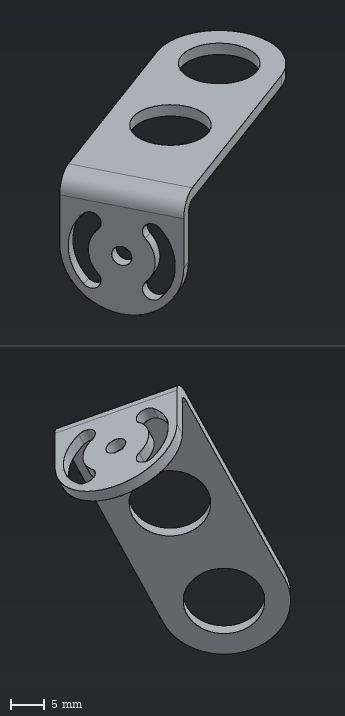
import cadquery as cq
import math

width = 20.0
length = 50.0
height = 22.0
thickness = 2.0
inner_bend_radius = 1.5
outer_bend_radius = inner_bend_radius + thickness
end_radius = width / 2

large_hole_diameter = 12.2
large_hole_spacing = 20.0
end_hole_y = length - end_radius

pivot_z = end_radius - height
pivot_diameter = 3.2
slot_width = 3.2
slot_radius = 7.0
slot_half_angle = 45.0


def make_bent_strip():
    """L-shaped strip with its top face at Z = 0 and its front face at Y = 0."""
    strip = (
        cq.Workplane("YZ")
        .moveTo(length, 0)
        .lineTo(outer_bend_radius, 0)
        .radiusArc((0, -outer_bend_radius), -outer_bend_radius)
        .lineTo(0, -height)
        .lineTo(thickness, -height)
        .lineTo(thickness, -outer_bend_radius)
        .radiusArc((outer_bend_radius, -thickness), inner_bend_radius)
        .lineTo(length, -thickness)
        .close()
        .extrude(width / 2, both=True)
    )
    top_outline = (
        cq.Workplane("XY")
        .moveTo(-end_radius, 0)
        .lineTo(end_radius, 0)
        .lineTo(end_radius, end_hole_y)
        .threePointArc((0, length), (-end_radius, end_hole_y))
        .close()
        .extrude(-height)
    )
    front_outline = (
        cq.Workplane("XZ")
        .moveTo(-end_radius, 0)
        .lineTo(end_radius, 0)
        .lineTo(end_radius, pivot_z)
        .threePointArc((0, -height), (-end_radius, pivot_z))
        .close()
        .extrude(-length)
    )
    return strip.intersect(top_outline).intersect(front_outline)


def make_curved_slot(side):
    """Round-ended arc slot about the pivot; side is 1 for +X and -1 for -X."""
    inner_radius = slot_radius - slot_width / 2
    outer_radius = slot_radius + slot_width / 2

    def point(radius, angle):
        radians = math.radians(angle)
        return side * radius * math.cos(radians), radius * math.sin(radians)

    def end_cap_tip(direction):
        x, z = point(slot_radius, direction * slot_half_angle)
        dx, dz = point(slot_width / 2, direction * (slot_half_angle + 90))
        return x + dx, z + dz

    return (
        cq.Workplane("XZ", origin=(0, 0, pivot_z))
        .moveTo(*point(outer_radius, -slot_half_angle))
        .threePointArc(point(outer_radius, 0), point(outer_radius, slot_half_angle))
        .threePointArc(end_cap_tip(1), point(inner_radius, slot_half_angle))
        .threePointArc(point(inner_radius, 0), point(inner_radius, -slot_half_angle))
        .threePointArc(end_cap_tip(-1), point(outer_radius, -slot_half_angle))
        .close()
        .extrude(-thickness)
    )


large_holes = (
    cq.Workplane("XY")
    .pushPoints([(0, end_hole_y), (0, end_hole_y - large_hole_spacing)])
    .circle(large_hole_diameter / 2)
    .extrude(-thickness)
)
pivot_hole = (
    cq.Workplane("XZ", origin=(0, 0, pivot_z))
    .circle(pivot_diameter / 2)
    .extrude(-thickness)
)

result = make_bent_strip().cut(large_holes).cut(pivot_hole)
for slot_side in (-1, 1):
    result = result.cut(make_curved_slot(slot_side))